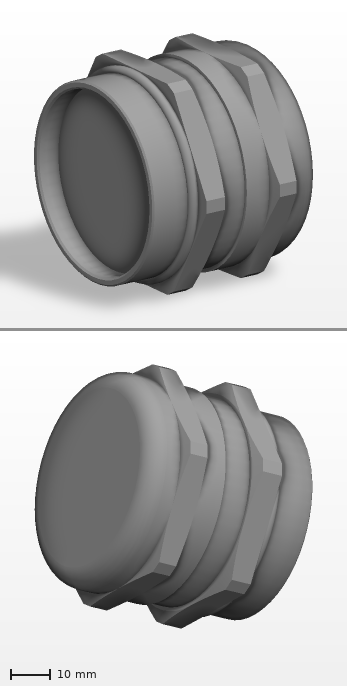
import cadquery as cq
import math

total_length = 51.0

corner_width = 63.8
hex_across_flats = 57.0
hex_thickness = 7.0
hex_sharp_width = hex_across_flats / math.cos(math.pi / 6)
body_hex_bevel_angle = 20.0
cap_hex_bevel_angle = 15.0

body_hex_front = 13.0
cap_front = 28.0
cap_hex_front = 35.0

cap_radius = hex_across_flats / 2
neck_radius = 27.5
thread_radius = 26.8
thread_chamfer = 0.45
cap_fillet = 5.0

ring_section_radius = 1.45
ring_front = 10.7
ring_path_radius = cap_radius - ring_section_radius
ring_centre = ring_front + ring_section_radius

bore_radius = 24.65
bore_depth = 6.4
bore_chamfer = 0.5


def profile_plane(start):
    """Workplane across the axis; extruding by a negative length goes toward +Y."""
    return cq.Workplane("XZ", origin=(0, start, 0))


def cylinder(radius, start, end):
    """Round section from start to end along Y."""
    return profile_plane(start).circle(radius).extrude(start - end)


def hexagon(start, bevel_angle, beveled_faces):
    """Wrench hexagon with flat-cut corners and conical bevels on the chosen faces."""
    sharp_hex = profile_plane(start).polygon(6, hex_sharp_width).extrude(-hex_thickness)

    trim_width = corner_width / math.cos(math.pi / 6)
    trim_plane = profile_plane(start).transformed(rotate=(0, 0, 30))
    corner_trim = trim_plane.polygon(6, trim_width).extrude(-hex_thickness)

    bevel_width = (hex_sharp_width - hex_across_flats) / 2
    bevel_depth = bevel_width * math.tan(math.radians(bevel_angle))
    envelope = cylinder(hex_sharp_width / 2, start, start + hex_thickness)
    for face in beveled_faces:
        envelope = envelope.faces(face).chamfer(bevel_depth, bevel_width)

    return sharp_hex.intersect(corner_trim).intersect(envelope)


def o_ring():
    """Round-section ring around the thread."""
    centre_plane = cq.Workplane("XY", origin=(ring_path_radius, ring_centre, 0))
    section = centre_plane.transformed(rotate=(0, 0, 180)).circle(ring_section_radius)
    return section.revolve(360, (ring_path_radius, 0), (ring_path_radius, 1))


thread = cylinder(thread_radius, 0, body_hex_front).faces("<Y").chamfer(thread_chamfer)
neck = cylinder(neck_radius, body_hex_front, cap_front)
cap = cylinder(cap_radius, cap_front, total_length).faces(">Y").edges().fillet(cap_fillet)

body_hex = hexagon(body_hex_front, body_hex_bevel_angle, [">Y"])
cap_hex = hexagon(cap_hex_front, cap_hex_bevel_angle, ["<Y", ">Y"])

bore = cylinder(bore_radius, 0, bore_depth)

result = thread.union(o_ring()).union(body_hex).union(neck).union(cap).union(cap_hex).cut(bore)

bore_mouth = cq.selectors.RadiusNthSelector(0)
result = result.faces("<Y").edges(bore_mouth).chamfer(bore_chamfer)